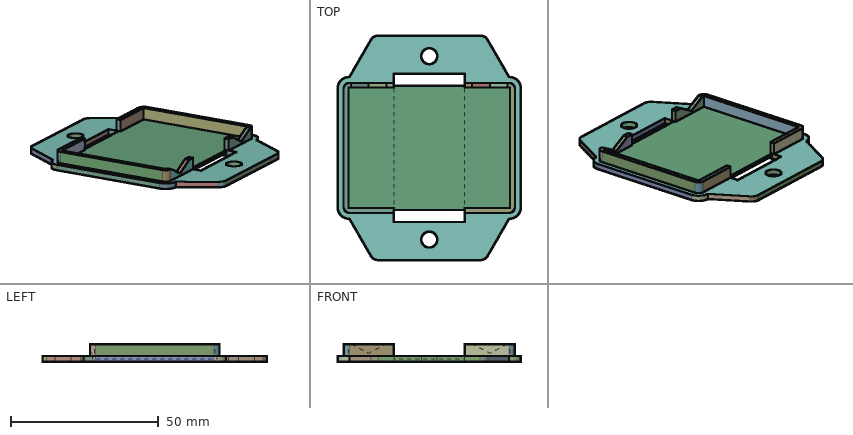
import cadquery as cq
import math

total_length = 76.0
plate_width = 62.0
plate_depth = 48.0
plate_thickness = 2.0
corner_radius = 3.95
tab_corner_radius = 3.0
tab_end_width = 37.85
tab_taper_angle = 30.0

hole_diameter = 5.3
hole_offset = 31.0
slot_width = 23.9
slot_inner_edge = 21.05
slot_outer_edge = 25.0
strap_channel_depth = 1.0

total_height = 6.0
wall_width = 57.9
wall_depth = 43.9
wall_thickness = 1.6
wall_corner_radius = 2.0

notch_offset = 20.5
notch_half_width = 6.0
notch_depth = 3.1

wall_height = total_height - plate_thickness


def make_plate():
    body = cq.Workplane("XY").rect(plate_width, plate_depth).extrude(plate_thickness)
    body = body.edges("|Z").fillet(corner_radius)
    tab_length = (total_length - plate_depth) / 2
    tab_end = tab_end_width / 2
    tab_root = tab_end + tab_length * math.tan(math.radians(tab_taper_angle))
    root_y = plate_depth / 2
    end_y = total_length / 2
    tabs = (
        cq.Workplane("XY")
        .polyline([
            (-tab_root, -root_y), (-tab_end, -end_y), (tab_end, -end_y), (tab_root, -root_y),
            (tab_root, root_y), (tab_end, end_y), (-tab_end, end_y), (-tab_root, root_y),
        ])
        .close()
        .extrude(plate_thickness)
    )
    tabs = tabs.edges("|Z and (<Y or >Y)").fillet(tab_corner_radius)
    return body.union(tabs)


def make_wall():
    wall = cq.Workplane("XY", origin=(0, 0, plate_thickness)).rect(wall_width, wall_depth).extrude(wall_height)
    wall = wall.edges("|Z").fillet(wall_corner_radius)
    inside_width = wall_width - 2 * wall_thickness
    inside_depth = wall_depth - 2 * wall_thickness
    inside = cq.Workplane("XY").rect(inside_width, inside_depth).extrude(total_height)
    gap = cq.Workplane("XY").rect(slot_width, wall_depth).extrude(total_height)
    wall = wall.cut(inside).cut(gap)
    for side in (-1, 1):
        wall = wall.cut(make_notch(side * notch_offset))
    return wall


def make_notch(center_x):
    return (
        cq.Workplane("XZ", origin=(center_x, wall_depth / 2, 0))
        .polyline([
            (-notch_half_width, total_height),
            (0, total_height - notch_depth),
            (notch_half_width, total_height),
        ])
        .close()
        .extrude(wall_thickness)
    )


def cut_strap_path_and_holes(part):
    slot_depth = slot_outer_edge - slot_inner_edge
    slot_center = (slot_inner_edge + slot_outer_edge) / 2
    slots = (
        cq.Workplane("XY")
        .pushPoints([(0, -slot_center), (0, slot_center)])
        .rect(slot_width, slot_depth)
        .extrude(plate_thickness)
    )
    holes = (
        cq.Workplane("XY")
        .pushPoints([(0, -hole_offset), (0, hole_offset)])
        .circle(hole_diameter / 2)
        .extrude(plate_thickness)
    )
    channel = cq.Workplane("XY").rect(slot_width, 2 * slot_inner_edge).extrude(strap_channel_depth)
    return part.cut(slots).cut(channel).cut(holes)


result = cut_strap_path_and_holes(make_plate().union(make_wall()))